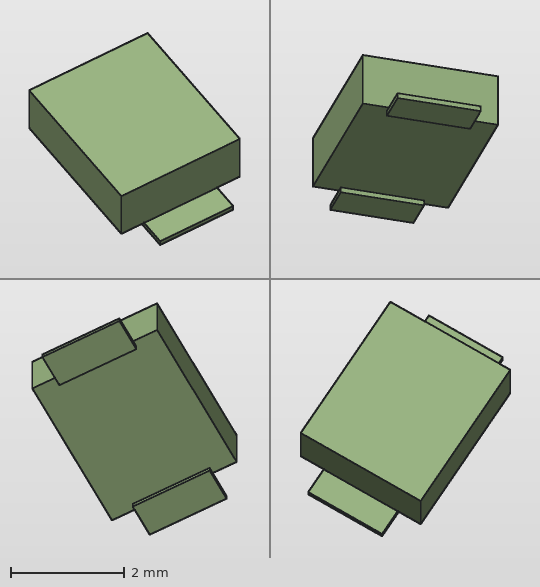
import cadquery as cq

overall_length = 4.04
overall_height = 1.1

lead_length = 0.64
lead_width = 1.54
lead_thickness = 0.1

body_length = 3.0
body_width = 2.5
body_height = overall_height - lead_thickness


def make_body():
    """Block centred on the Z axis, with its underside on top of the leads."""
    return (
        cq.Workplane("XY")
        .workplane(offset=lead_thickness)
        .rect(body_length, body_width)
        .extrude(body_height)
    )


def make_lead(side):
    """Flat lead at the -X end (side = -1) or the +X end (side = 1)."""
    center_x = side * (overall_length - lead_length) / 2
    return (
        cq.Workplane("XY")
        .center(center_x, 0)
        .rect(lead_length, lead_width)
        .extrude(lead_thickness)
    )


body = make_body()
leads = [make_lead(side) for side in (-1, 1)]

result = cq.Compound.makeCompound([body.val(), *[lead.val() for lead in leads]])